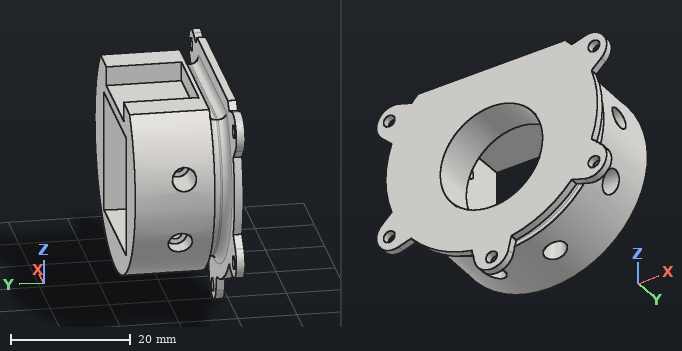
import cadquery as cq
import math


overall_width = 45.7

plate_thickness = 1.5
plate_radius = 21.0
plate_top = 15.07

lug_angles = (30, 150, 210, 270, 330)
lug_tip_radius = 3.43
lug_tip_distance = (overall_width / 2 - lug_tip_radius) / math.cos(math.radians(lug_angles[0]))
lug_root_half_width = 3.95
lug_hole_distance = 23.45
screw_hole_diameter = 2.2

total_depth = 18.0
body_start = 4.5
body_radius = 19.35
body_top_drop = 1.65
body_top = plate_top - body_top_drop
neck_inset = 2.35
neck_radius = body_radius - neck_inset
neck_top = body_top - neck_inset
neck_fillet = 1.35

recess_width = 16.45
recess_start = 5.3
recess_depth = 3.35

tilt = 1.8
bore_diameter = 20.3
bore_center_z = -3.1
pocket_side = 21.0
pocket_start = 8.0

clamp_distance = 9.8
clamp_spacing = 11.95
clamp_head_diameter = 4.0
clamp_web = 2.0

overcut = 4.55



def flat_topped_disc(radius, top, start, end):
    """Disc along Y from start to end, cut flat at the height top."""
    half_chord = math.sqrt(radius**2 - top**2)
    return (
        cq.Workplane("XZ", origin=(0, start, 0))
        .moveTo(half_chord, top)
        .threePointArc((0, -radius), (-half_chord, top))
        .close()
        .extrude(start - end)
    )


def lug(angle):
    """Tapered lug with a round tip; its sides run tangent into the tip."""
    root = math.sqrt(plate_radius**2 - lug_root_half_width**2)
    to_root = lug_tip_distance - root
    tangent_turn = math.acos(lug_tip_radius / math.hypot(to_root, lug_root_half_width))
    tangent_angle = math.atan2(lug_root_half_width, -to_root) - tangent_turn
    tangent_x = lug_tip_distance + lug_tip_radius * math.cos(tangent_angle)
    tangent_z = lug_tip_radius * math.sin(tangent_angle)
    return (
        cq.Workplane("XZ")
        .moveTo(0, -lug_root_half_width)
        .lineTo(root, -lug_root_half_width)
        .lineTo(tangent_x, -tangent_z)
        .threePointArc((lug_tip_distance + lug_tip_radius, 0), (tangent_x, tangent_z))
        .lineTo(root, lug_root_half_width)
        .lineTo(0, lug_root_half_width)
        .close()
        .extrude(-plate_thickness)
        .rotate((0, 0, 0), (0, 1, 0), -angle)
    )


def flange():
    plate = flat_topped_disc(plate_radius, plate_top, 0, plate_thickness)
    for angle in lug_angles:
        plate = plate.union(lug(angle))
    hole_centers = [
        (lug_hole_distance * math.cos(math.radians(a)), lug_hole_distance * math.sin(math.radians(a)))
        for a in lug_angles
    ]
    holes = (
        cq.Workplane("XZ")
        .pushPoints(hole_centers)
        .circle(screw_hole_diameter / 2)
        .extrude(-plate_thickness)
    )
    return plate.cut(holes)


def body_with_neck():
    """Body and flange-side disc joined by the neck, with the neck corners filleted."""
    neck = flat_topped_disc(neck_radius, neck_top, 0, body_start)
    body = flat_topped_disc(body_radius, body_top, body_start, total_depth)
    front_disc = flat_topped_disc(body_radius, body_top, 0, plate_thickness)
    slack = 0.05
    neck_edges = cq.selectors.BoxSelector(
        (-neck_radius - slack, plate_thickness - slack, -neck_radius - slack),
        (neck_radius + slack, body_start + slack, neck_top + slack),
        boundingbox=True,
    )
    spool = neck.union(body).union(front_disc)
    return spool.edges(neck_edges).edges("not |Y").fillet(neck_fillet)


def top_recess():
    recess_length = total_depth - recess_start
    return (
        cq.Workplane("XY", origin=(0, recess_start, body_top - recess_depth))
        .box(recess_width, recess_length, recess_depth, centered=(True, False, False))
    )


def clamp_screw(side_angle, offset):
    """Screw hole with a deep head bore, pointing out of the pocket wall at side_angle about Y."""
    wall = pocket_side / 2
    outward = cq.Workplane("YZ", origin=(0, clamp_distance, offset))
    hole = outward.circle(screw_hole_diameter / 2).extrude(body_radius + overcut)
    head = (
        outward.workplane(offset=wall + clamp_web)
        .circle(clamp_head_diameter / 2)
        .extrude(body_radius)
    )
    return hole.union(head).rotate((0, 0, 0), (0, 1, 0), side_angle)


def motor_cavity():
    """Bore, pocket and clamping screws, built on a level axis and then tilted as one."""
    cavity = (
        cq.Workplane("XZ", origin=(0, -overcut, 0))
        .circle(bore_diameter / 2)
        .extrude(-(total_depth + overcut))
    )
    pocket = (
        cq.Workplane("XZ", origin=(0, pocket_start, 0))
        .rect(pocket_side, pocket_side)
        .extrude(-total_depth)
    )
    cavity = cavity.union(pocket)
    for side_angle in (0, 90, 180):
        for offset in (-clamp_spacing / 2, clamp_spacing / 2):
            cavity = cavity.union(clamp_screw(side_angle, offset))
    return cavity.rotate((0, 0, 0), (1, 0, 0), tilt).translate((0, 0, bore_center_z))


result = flange().union(body_with_neck()).cut(top_recess()).cut(motor_cavity())